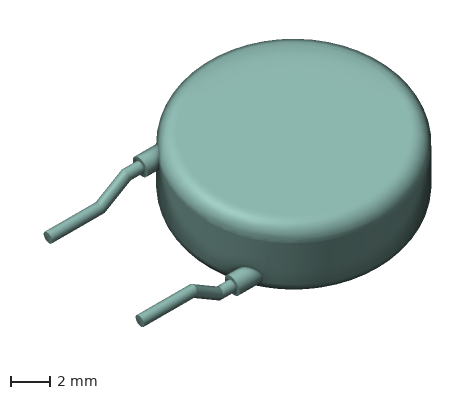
import cadquery as cq

disc_diameter = 14.0
disc_height = 5.0
edge_radius = 1.0

lead_pitch = 7.5
lead_diameter = 0.7
lead_length = 6.0
first_bend = 0.9
second_bend = 2.6
exit_offset = 1.3

sleeve_diameter = 1.2
sleeve_end_y = -disc_diameter / 2

mid_height = disc_height / 2

lead_exits = [
    (-lead_pitch / 2, mid_height + exit_offset),
    (lead_pitch / 2, mid_height - exit_offset),
]


def make_sleeve(x, z):
    """Round sleeve from inside the disc to the level of its front edge."""
    return (
        cq.Workplane("XZ", origin=(x, 0, z))
        .circle(sleeve_diameter / 2)
        .extrude(-sleeve_end_y)
    )


def make_housing():
    """Disc with rounded rims and its two sleeves."""
    housing = (
        cq.Workplane("XY")
        .circle(disc_diameter / 2)
        .extrude(disc_height)
        .edges("%CIRCLE")
        .fillet(edge_radius)
    )
    for x, z in lead_exits:
        housing = housing.union(make_sleeve(x, z))
    return housing


def make_lead(x, exit_z):
    """Round wire that starts on the sleeve end and bends to mid-height with mitred corners."""
    path = cq.Workplane("YZ", origin=(x, 0, 0)).polyline([
        (sleeve_end_y, exit_z),
        (sleeve_end_y - first_bend, exit_z),
        (sleeve_end_y - second_bend, mid_height),
        (sleeve_end_y - lead_length, mid_height),
    ])
    return (
        cq.Workplane("XZ", origin=(x, sleeve_end_y, exit_z))
        .circle(lead_diameter / 2)
        .sweep(path, transition="right")
    )


housing = make_housing()
leads = [make_lead(x, z) for x, z in lead_exits]

result = cq.Compound.makeCompound([housing.val(), *[lead.val() for lead in leads]])